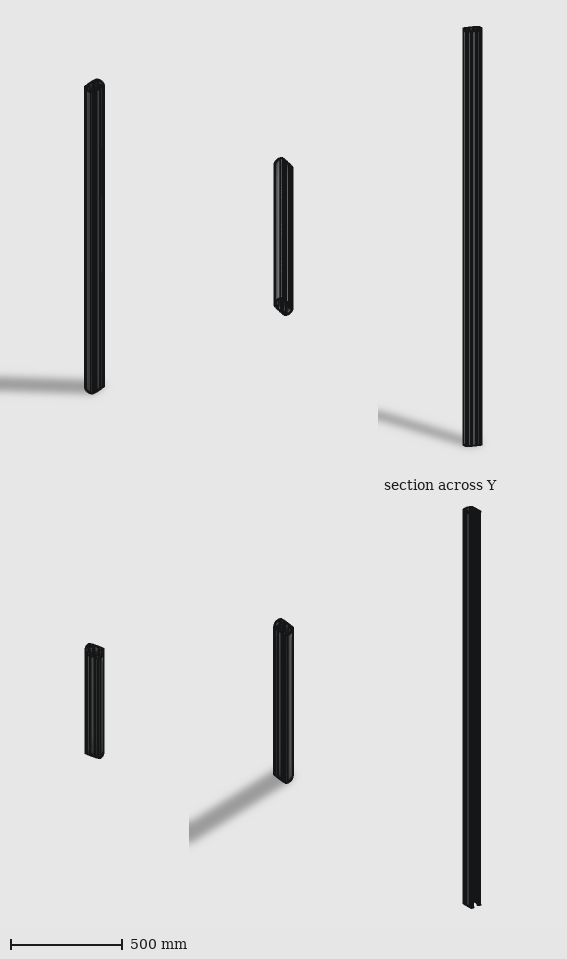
import cadquery as cq
import math

length = 2000.0
width = 53.09
depth = 84.79
wall = 3.0

side_radius = 300.0
side_flat_angle = math.radians(2.1)

groove_width = 2.0
groove_depth = 1.0

crown_radius = depth / 2
crown_half_angle = math.radians(20.2)
shoulder_slope = math.radians(23.4)
corner_fillet = 1.3

block_inner_x = 15.0
block_inner_y = 15.0
channel_diameter = 5.4
channel_x = 18.5
channel_y = 27.5
slot_width = 3.0

half_width = width / 2
half_depth = depth / 2
side_flat_y = side_radius * math.sin(side_flat_angle)
side_center_x = half_width - side_radius * math.cos(side_flat_angle)
crown_x = crown_radius * math.sin(crown_half_angle)
crown_y = half_depth - crown_radius * (1 - math.cos(crown_half_angle))


def side_x(y):
    """X of the curved part of the long side at the given Y."""
    return side_center_x + math.sqrt(side_radius**2 - y**2)


def corner_point():
    """Point where the sloping shoulder meets the side arc, found by walking down from the crown."""
    step_x = math.cos(shoulder_slope)
    step_y = -math.sin(shoulder_slope)
    from_center_x = crown_x - side_center_x
    along = from_center_x * step_x + crown_y * step_y
    gap = from_center_x**2 + crown_y**2 - side_radius**2
    distance = -along + math.sqrt(along**2 - gap)
    return crown_x + distance * step_x, crown_y + distance * step_y


def make_outline():
    """Closed outer cross-section, drawn counter-clockwise from the +X flat band."""
    corner_x, corner_y = corner_point()
    arc_y = (side_flat_y + corner_y) / 2
    arc_x = side_x(arc_y)
    return (
        cq.Workplane("XY")
        .moveTo(half_width, -side_flat_y)
        .lineTo(half_width, side_flat_y)
        .threePointArc((arc_x, arc_y), (corner_x, corner_y))
        .lineTo(crown_x, crown_y)
        .threePointArc((0, half_depth), (-crown_x, crown_y))
        .lineTo(-corner_x, corner_y)
        .threePointArc((-arc_x, arc_y), (-half_width, side_flat_y))
        .lineTo(-half_width, -side_flat_y)
        .threePointArc((-arc_x, -arc_y), (-corner_x, -corner_y))
        .lineTo(-crown_x, -crown_y)
        .threePointArc((0, -half_depth), (crown_x, -crown_y))
        .lineTo(corner_x, -corner_y)
        .threePointArc((arc_x, -arc_y), (half_width, -side_flat_y))
        .close()
    )


def make_body():
    """Solid bar with its four long corners rounded."""
    corner_x, corner_y = corner_point()
    body = make_outline().extrude(length)
    for sign_x in (-1, 1):
        for sign_y in (-1, 1):
            corner = (sign_x * corner_x, sign_y * corner_y, length / 2)
            body = body.edges(cq.selectors.NearestToPointSelector(corner)).fillet(corner_fillet)
    return body


def box_between(x_start, x_end, y_start, y_end):
    """Full-length box between two opposite corners of the cross-section."""
    return (
        cq.Workplane("XY")
        .center((x_start + x_end) / 2, (y_start + y_end) / 2)
        .rect(abs(x_end - x_start), abs(y_end - y_start))
        .extrude(length)
    )


def make_cavity():
    """Hollow inside of the tube, leaving the four corner blocks solid."""
    cavity = make_outline().offset2D(-wall).extrude(length)
    for sign_x in (-1, 1):
        for sign_y in (-1, 1):
            block = box_between(
                sign_x * block_inner_x, sign_x * half_width, sign_y * block_inner_y, sign_y * half_depth
            )
            cavity = cavity.cut(block)
    return cavity


def make_channel(sign_x, sign_y):
    """Round channel in one corner block and the slot that opens it to the long side."""
    center_y = sign_y * channel_y
    bore = (
        cq.Workplane("XY")
        .center(sign_x * channel_x, center_y)
        .circle(channel_diameter / 2)
        .extrude(length)
    )
    slot = box_between(
        sign_x * channel_x, sign_x * half_width, center_y - slot_width / 2, center_y + slot_width / 2
    )
    return bore.union(slot)


def make_groove(sign_x, sign_y):
    """Shallow rectangular groove along one edge of a flat band."""
    return box_between(
        sign_x * (half_width - groove_depth),
        sign_x * half_width,
        sign_y * (side_flat_y - groove_width),
        sign_y * side_flat_y,
    )


result = make_body().cut(make_cavity())
for sign_x in (-1, 1):
    for sign_y in (-1, 1):
        result = result.cut(make_channel(sign_x, sign_y))
        result = result.cut(make_groove(sign_x, sign_y))